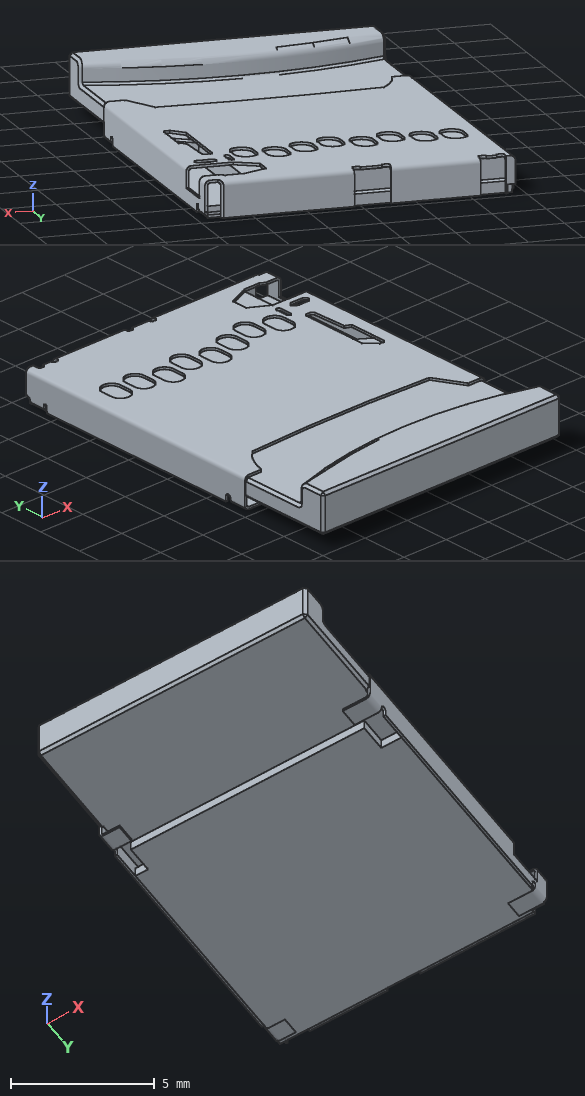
import cadquery as cq

shell_width = 11.35
shell_height = 1.36
shell_front = 3.98
shell_back = 15.26
sheet = 0.099
bend_radius = 0.2
floor_top = 0.43
tray_bottom = 0.49
grip_top = 2.15

shell_half = shell_width / 2
inner_half = shell_half - sheet
inner_top = shell_height - sheet
bend_back = shell_back - bend_radius
inner_back = shell_back - sheet

left_foot_reach = 0.85
right_foot_reach = 1.15
foot_relief_height = 0.32
left_foot_end = left_foot_reach - shell_half
right_foot_end = shell_half - right_foot_reach
front_foot_end = 4.73
front_relief_end = 4.96
rear_foot_end = 15.03
rear_foot_start = 14.35
rear_relief_start = 14.18

rear_wall_left = (-4.4, -1.11)
rear_wall_right = (0.25, 5.05)
rear_corner_flare = 0.15
rear_relief_width = 0.27
rear_relief_front = 14.94
left_wall_lip = 0.35

opening_count = 8
opening_pitch = 1.102
first_opening_x = -4.53
opening_width = 0.84
opening_length = 1.28
opening_y = 11.85
opening_shift = 0.32
low_openings = (2, 4)
high_opening = 6

window_front = 13.02
window_back = 14.59
window_side_back = 14.47
window_sill = 0.56

base_front = 5.04
base_shoulder = 6.1
base_front_left = -5.05
base_front_right = 4.73

card_back = 15.0
card_half = 5.5
card_notch_x = 4.07
card_notch_corner = 9.61
card_notch_shoulder = 8.64
card_shoulder_chamfer = 0.08
tray_half = 5.65
tray_chamfer = 0.115
grip_middle = 2.1
grip_side = 1.19
grip_top_radius = 0.3
grip_foot_radius = 0.09


def block(x_range, y_range, z_range):
    """Box spanning the given ranges."""
    return (
        cq.Workplane("XY")
        .box(
            x_range[1] - x_range[0],
            y_range[1] - y_range[0],
            z_range[1] - z_range[0],
            centered=False,
        )
        .translate((x_range[0], y_range[0], z_range[0]))
    )


def mirrored_pair(solid):
    """The solid together with its mirror image across X = 0."""
    return solid.union(solid.mirror("YZ"))


def roof_cutter(sketch):
    """Cutter through the roof sheet from a closed outline drawn in X and Y."""
    return sketch.extrude(2 * sheet).translate((0, 0, shell_height - 1.5 * sheet))


def bent_channel():
    """Roof, two side walls and rear wall, bent from one sheet."""
    outer = block((-shell_half, shell_half), (shell_front, shell_back), (0, shell_height))
    outer = outer.edges("|Y and >Z").fillet(bend_radius)
    outer = outer.intersect(
        block((-shell_half, shell_half), (shell_front, shell_back), (0, shell_height))
        .edges(">Y and >Z")
        .fillet(bend_radius)
        .union(block((-shell_half, left_wall_lip - shell_half), (shell_front, shell_back), (0, shell_height)))
    )
    inner = block((-inner_half, inner_half), (shell_front, inner_back), (0, inner_top))
    inner = inner.edges("(|Y and >Z) or (>Y and >Z)").fillet(bend_radius - sheet)
    return outer.cut(inner)


def rear_gaps():
    """Openings between the rear wall segments, with relief notches beside the bends."""
    full_height = (0, shell_height)
    gap_y = (bend_back, shell_back)
    left_gap = (left_wall_lip - shell_half, rear_wall_left[0])
    middle_gap = (rear_wall_left[1], rear_wall_right[0])
    gaps = cq.Workplane("XY")
    for start, end in (left_gap, middle_gap):
        gaps = gaps.union(block((start, end), gap_y, full_height))
        for relief_start in (start, end - rear_relief_width):
            relief = block(
                (relief_start, relief_start + rear_relief_width),
                (rear_relief_front, shell_back),
                (inner_top - bend_radius, shell_height),
            )
            gaps = gaps.union(relief.edges("|Z and <Y").fillet(0.25 * rear_relief_width))
    right_gap = (
        cq.Workplane("XY")
        .moveTo(rear_wall_right[1], shell_back)
        .lineTo(rear_wall_right[1] + rear_corner_flare, bend_back)
        .lineTo(shell_half, bend_back)
        .lineTo(shell_half, shell_back)
        .close()
        .extrude(shell_height)
    )
    return gaps.union(right_gap)


def front_cutout():
    """Scooped front edge of the roof that leaves the tray visible."""
    foot_x = 4.9
    shoulder_x = 4.2
    shoulder_y = 5.22
    crown_y = 5.34
    left_bulge = (-4.61, 4.72)
    outline = (
        cq.Workplane("XY")
        .moveTo(-foot_x, shell_front)
        .threePointArc(left_bulge, (-shoulder_x, shoulder_y))
        .threePointArc((0, crown_y), (shoulder_x, shoulder_y))
        .lineTo(foot_x, shell_front)
        .close()
    )
    return roof_cutter(outline)


def contact_openings():
    """Row of rounded openings over the card contacts, three of them shifted."""
    cutters = cq.Workplane("XY")
    for index in range(opening_count):
        y = opening_y
        if index in low_openings:
            y -= opening_shift
        elif index == high_opening:
            y += opening_shift
        x = first_opening_x + index * opening_pitch
        outline = cq.Workplane("XY").center(x, y).slot2D(opening_length, opening_width, 90)
        cutters = cutters.union(roof_cutter(outline))
    return cutters


def latch_window():
    """Tapered roof window that runs out through the right wall above a sill."""
    outline = (
        cq.Workplane("XY")
        .moveTo(3.13, 13.49)
        .lineTo(3.13, 14.18)
        .lineTo(card_notch_x, window_back)
        .lineTo(4.76, window_back)
        .lineTo(4.97, window_side_back)
        .lineTo(shell_half, window_side_back)
        .lineTo(shell_half, window_front)
        .lineTo(3.95, window_front)
        .close()
    )
    side = block((card_half, shell_half), (window_front, window_side_back), (window_sill, shell_height))
    return roof_cutter(outline).union(side)


def latch_slots():
    """Two short slots and one stepped slot over the latch."""
    short_slot = cq.Workplane("XY").center(3.89, 12.39).slot2D(0.7, 0.18, 90)
    cross_slot = cq.Workplane("XY").center(4.82, 12.57).slot2D(0.81, 0.3)
    stepped_slot = (
        cq.Workplane("XY")
        .moveTo(4.25, 8.76)
        .lineTo(4.25, 11.72)
        .lineTo(4.64, 11.72)
        .lineTo(4.72, 10.16)
        .lineTo(4.96, 10.05)
        .lineTo(4.96, 8.32)
        .lineTo(4.7, 8.32)
        .close()
    )
    stepped = roof_cutter(stepped_slot).edges("|Z and (>Y or (<Y and >X))").fillet(0.1)
    return roof_cutter(short_slot).union(roof_cutter(cross_slot)).union(stepped)


def foot_relief(y_range):
    """Round-topped slit through both side walls."""
    slit = block((inner_half - bend_radius, shell_half), y_range, (0, foot_relief_height))
    slit = slit.edges("|X and >Z").fillet(0.45 * (y_range[1] - y_range[0]))
    return mirrored_pair(slit)


def foot(y_range):
    """Lower wall edges bent inwards into a pair of feet."""
    length = (-shell_half, shell_half)
    outer = block(length, y_range, (0, shell_height)).edges("|Y and <Z").fillet(bend_radius)
    inner = block((-inner_half, inner_half), y_range, (sheet, shell_height))
    inner = inner.edges("|Y and <Z").fillet(bend_radius - sheet)
    ring = outer.cut(inner).cut(block((left_foot_end, right_foot_end), y_range, (0, sheet)))
    return ring.intersect(block(length, y_range, (0, foot_relief_height)))


def make_shell():
    shell = bent_channel().cut(rear_gaps()).cut(front_cutout())
    shell = shell.cut(contact_openings()).cut(latch_window()).cut(latch_slots())
    for y_range in ((shell_front, front_foot_end), (rear_foot_start, rear_foot_end)):
        wall_edge = block((inner_half, shell_half), y_range, (0, foot_relief_height))
        shell = shell.cut(mirrored_pair(wall_edge)).union(foot(y_range))
    shell = shell.cut(foot_relief((front_foot_end, front_relief_end)))
    shell = shell.cut(foot_relief((rear_relief_start, rear_foot_start)))
    rear_slit_end = 2 * shell_back - rear_foot_end
    return shell.cut(foot_relief((rear_foot_end, rear_slit_end)))


def make_base():
    """Floor of the socket, narrowed at the front and relieved over the rear feet."""
    wide = block((-inner_half, inner_half), (base_shoulder, inner_back), (0, floor_top))
    narrow = block((base_front_left, base_front_right), (base_front, base_shoulder), (0, floor_top))
    rear_corner = block((rear_wall_right[1], inner_half), (bend_back, inner_back), (0, floor_top))
    base = wide.union(narrow).cut(rear_corner)
    for x_range in ((-inner_half, left_foot_end), (right_foot_end, inner_half)):
        base = base.cut(block(x_range, (rear_foot_start, rear_foot_end), (0, bend_radius)))
    return base


def make_tray():
    """Exposed slab with an arched grip, and the card blade inside the shell."""
    slab = block((-tray_half, tray_half), (0, shell_front), (tray_bottom, inner_top))
    grip = (
        cq.Workplane("XY")
        .workplane(offset=tray_bottom)
        .moveTo(-tray_half, 0)
        .lineTo(-tray_half, grip_side)
        .threePointArc((0, grip_middle), (tray_half, grip_side))
        .lineTo(tray_half, 0)
        .close()
        .extrude(grip_top - tray_bottom)
    )
    grip = grip.edges(">Z and >Y").fillet(grip_top_radius)
    tray = slab.union(grip)
    foot_edge = cq.selectors.BoxSelector(
        (-0.15, grip_side, inner_top - 0.02), (0.15, grip_middle, inner_top + 0.02)
    )
    tray = tray.edges(foot_edge).fillet(grip_foot_radius)
    tray = tray.faces("<X or >X or <Y").edges("not >Y").chamfer(tray_chamfer)
    blade = (
        cq.Workplane("XY")
        .workplane(offset=tray_bottom)
        .moveTo(-card_half, shell_front)
        .lineTo(-card_half, card_back)
        .lineTo(card_notch_x, card_back)
        .lineTo(card_notch_x, card_notch_corner)
        .lineTo(card_half, card_notch_shoulder)
        .lineTo(card_half, shell_front)
        .close()
        .extrude(inner_top - tray_bottom)
    )
    shoulder_middle = ((card_notch_x + card_half) / 2, (card_notch_corner + card_notch_shoulder) / 2, inner_top)
    shoulder_edge = cq.selectors.NearestToPointSelector(shoulder_middle)
    blade = blade.edges(shoulder_edge).chamfer(card_shoulder_chamfer)
    return tray.union(blade)


shell = make_shell()
base = make_base()
tray = make_tray()
result = cq.Compound.makeCompound([shell.val(), base.val(), tray.val()])